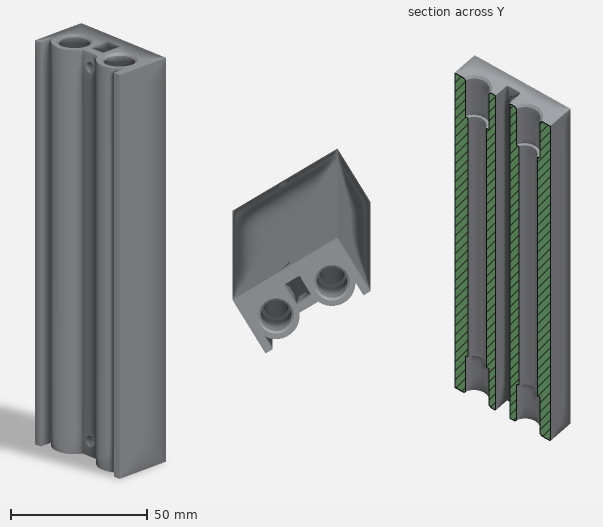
import cadquery as cq

LENGTH = 161.0
WIDTH = 45.0
DEPTH = 23.5

LEG_THICKNESS = 3.0
FLOOR_DEPTH = 16.9
BORE_SPACING = 24.0
BORE_AXIS_DEPTH = 13.5
BARREL_DIAMETER = 17.2

BORE_DIAMETER = 9.2
COUNTERBORE_DIAMETER = 11.5
COUNTERBORE_DEPTH = 19.3
MOUTH_DIAMETER = 13.2
MOUTH_CHAMFER = (MOUTH_DIAMETER - COUNTERBORE_DIAMETER) / 2

SLOT_WIDTH = 6.5
SLOT_HEIGHT = 8.5
SLOT_BACK_DEPTH = 5.0

MOUNT_DIAMETER = 4.5
MOUNT_END_DISTANCE = 6.0

BACK_Y = DEPTH / 2
BORE_Y = BACK_Y - BORE_AXIS_DEPTH
BORE_CENTRES = [(side * BORE_SPACING / 2, BORE_Y) for side in (-1, 1)]


def profile_body():
    """Block with a front channel between two legs and two barrels standing in it."""
    block = cq.Workplane("XY").box(WIDTH, DEPTH, LENGTH)
    channel_depth = DEPTH - FLOOR_DEPTH
    channel = (
        cq.Workplane("XY")
        .center(0, -DEPTH / 2 + channel_depth / 2)
        .rect(WIDTH - 2 * LEG_THICKNESS, channel_depth)
        .extrude(LENGTH / 2, both=True)
    )
    barrels = (
        cq.Workplane("XY")
        .pushPoints(BORE_CENTRES)
        .circle(BARREL_DIAMETER / 2)
        .extrude(LENGTH / 2, both=True)
    )
    return block.cut(channel).union(barrels)


def bore_cutter(x, y):
    """Through bore with a chamfered counterbore at each end."""
    half = LENGTH / 2
    shoulder = half - COUNTERBORE_DEPTH
    return (
        cq.Workplane("XZ")
        .moveTo(0, -half)
        .lineTo(MOUTH_DIAMETER / 2, -half)
        .lineTo(COUNTERBORE_DIAMETER / 2, -half + MOUTH_CHAMFER)
        .lineTo(COUNTERBORE_DIAMETER / 2, -shoulder)
        .lineTo(BORE_DIAMETER / 2, -shoulder)
        .lineTo(BORE_DIAMETER / 2, shoulder)
        .lineTo(COUNTERBORE_DIAMETER / 2, shoulder)
        .lineTo(COUNTERBORE_DIAMETER / 2, half - MOUTH_CHAMFER)
        .lineTo(MOUTH_DIAMETER / 2, half)
        .lineTo(0, half)
        .close()
        .revolve(360, (0, 0), (0, 1))
        .translate((x, y, 0))
    )


def slot_cutter():
    """Rectangular channel running the full length."""
    slot_y = BACK_Y - SLOT_BACK_DEPTH - SLOT_HEIGHT / 2
    return cq.Workplane("XY").box(SLOT_WIDTH, SLOT_HEIGHT, LENGTH).translate((0, slot_y, 0))


def mount_hole_cutter():
    """Two cross holes on the centreline, one near each end."""
    hole_z = LENGTH / 2 - MOUNT_END_DISTANCE
    return (
        cq.Workplane("XZ")
        .pushPoints([(0, -hole_z), (0, hole_z)])
        .circle(MOUNT_DIAMETER / 2)
        .extrude(DEPTH / 2, both=True)
    )


result = profile_body().cut(slot_cutter()).cut(mount_hole_cutter())
for centre_x, centre_y in BORE_CENTRES:
    result = result.cut(bore_cutter(centre_x, centre_y))